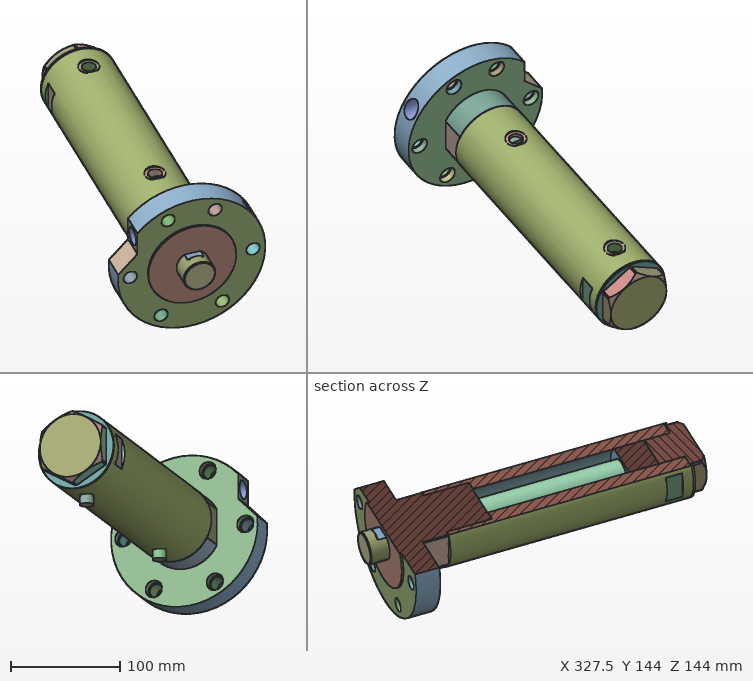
import cadquery as cq
import math

CAP_HEX_END = 14.0
BARREL_START = 16.0
PISTON_START = 42.5
PISTON_END = 72.0
GLAND_START = 212.2
BARREL_END = 257.0
FLANGE_START = 282.3
FLANGE_END = 306.5
COLLAR_END = 308.5
ROD_FLAT_END = 317.0
ROD_END = 327.5

BARREL_RADIUS = 36.7
BORE_RADIUS = 25.0
GLAND_RADIUS = 32.0
BARREL_FLAT_START = 26.2
BARREL_FLAT_END = 42.2
BARREL_FLAT_OFFSET = 33.7

PORT_STATIONS = (41.5, GLAND_START)
PORT_DIAMETER = 13.0
SPOTFACE_DIAMETER = 19.5
SPOTFACE_HEIGHT = 35.5

PIN_STATIONS = (40.5, 221.0)
PIN_DIAMETER = 12.5
PIN_BOTTOM = -45.2
PIN_TOP = -33.5

HEX_ACROSS_FLATS = 60.0
HEX_TURNED_DIAMETER = 68.0
HEX_CHAMFER = 4.3

NECK_RADIUS = 36.5
NECK_FLAT_OFFSET = 32.0
FLANGE_RADIUS = 72.0
COLLAR_RADIUS = 43.0
BOLT_CIRCLE_RADIUS = 60.0
BOLT_ANGLES = (0, 67.5, 112.5, 180, 240, 300)
BOLT_HOLE_DIAMETER = 13.0
COUNTERBORE_DIAMETER = 16.0
COUNTERBORE_DEPTH = 7.0
NOTCH_OFFSET = 53.0
NOTCH_BOTTOM = 25.0
CROSS_HOLE_DIAMETER = 17.5
CROSS_HOLE_HEIGHT = 37.0

ROD_DIAMETER = 31.0
ROD_RADIUS = ROD_DIAMETER / 2
ROD_FLAT_OFFSET = 13.5
ROD_CHAMFER = 1.0


def disc(start, end, radius):
    """Round bar along the cylinder axis between two stations."""
    axis_plane = cq.Plane(origin=(start, 0, 0), xDir=(0, 0, 1), normal=(1, 0, 0))
    return cq.Workplane(axis_plane).circle(radius).extrude(end - start)


def upright_bar(station, bottom, top, diameter):
    """Vertical round bar centred over the cylinder axis."""
    upright_plane = cq.Plane(origin=(station, 0, bottom), xDir=(-1, 0, 0), normal=(0, 0, 1))
    return cq.Workplane(upright_plane).circle(diameter / 2).extrude(top - bottom)


def flats_cutter(start, end, offset, outer):
    """Two opposite blocks that cut flats at +/- offset in Y out of a bar of the outer radius."""
    depth = outer - offset
    centres = [(0, offset + depth / 2), (0, -offset - depth / 2)]
    return (
        cq.Workplane("XY", origin=((start + end) / 2, 0, 0))
        .pushPoints(centres)
        .box(end - start, depth, 2 * outer)
    )


def make_pin(station):
    return upright_bar(station, PIN_BOTTOM, PIN_TOP, PIN_DIAMETER)


def cut_port(barrel, station):
    """Round port from the top into the bore, with a shallow spotface around its mouth."""
    port = upright_bar(station, 0, BARREL_RADIUS, PORT_DIAMETER)
    spotface = upright_bar(station, SPOTFACE_HEIGHT, BARREL_RADIUS, SPOTFACE_DIAMETER)
    return barrel.cut(port).cut(spotface)


def make_barrel():
    barrel = disc(BARREL_START, BARREL_END, BARREL_RADIUS)
    barrel = barrel.cut(disc(BARREL_START, BARREL_END, BORE_RADIUS))
    barrel = barrel.cut(disc(GLAND_START, BARREL_END, GLAND_RADIUS))
    barrel = barrel.cut(
        flats_cutter(BARREL_FLAT_START, BARREL_FLAT_END, BARREL_FLAT_OFFSET, BARREL_RADIUS)
    )
    for station in PORT_STATIONS:
        barrel = cut_port(barrel, station)
    for station in PIN_STATIONS:
        barrel = barrel.cut(make_pin(station))
    return barrel


def make_cap():
    hexagon = (
        cq.Workplane("YZ")
        .polygon(6, HEX_ACROSS_FLATS / math.cos(math.pi / 6))
        .extrude(CAP_HEX_END)
        .rotate((0, 0, 0), (1, 0, 0), 30)
    )
    turned = disc(0, CAP_HEX_END, HEX_TURNED_DIAMETER / 2).faces("<X").chamfer(HEX_CHAMFER)
    rim = disc(CAP_HEX_END, BARREL_START, BARREL_RADIUS)
    spigot = disc(BARREL_START, PISTON_START, BORE_RADIUS)
    return hexagon.intersect(turned).union(rim).union(spigot)


def cut_notch(flange):
    """Step in the flange rim: a vertical face, then a 45 degree ramp down to the rim."""
    reach = FLANGE_RADIUS - NOTCH_OFFSET
    notch = (
        cq.Workplane("YZ", origin=(FLANGE_START, 0, 0))
        .moveTo(-NOTCH_OFFSET, NOTCH_BOTTOM)
        .lineTo(-FLANGE_RADIUS, NOTCH_BOTTOM - reach)
        .lineTo(-FLANGE_RADIUS, FLANGE_RADIUS)
        .lineTo(-NOTCH_OFFSET, FLANGE_RADIUS)
        .close()
        .extrude(FLANGE_END - FLANGE_START)
    )
    return flange.cut(notch)


def cut_bolt_holes(flange):
    hole = disc(FLANGE_START, FLANGE_END, BOLT_HOLE_DIAMETER / 2)
    counterbore = disc(FLANGE_START, FLANGE_START + COUNTERBORE_DEPTH, COUNTERBORE_DIAMETER / 2)
    stepped_hole = hole.union(counterbore)
    for angle in BOLT_ANGLES:
        y = BOLT_CIRCLE_RADIUS * math.cos(math.radians(angle))
        z = BOLT_CIRCLE_RADIUS * math.sin(math.radians(angle))
        flange = flange.cut(stepped_hole.translate((0, y, z)))
    return flange


def cut_cross_hole(flange):
    """Hole along Y through the middle of the flange thickness, above the axis."""
    cross_hole = (
        cq.Workplane("XZ", origin=((FLANGE_START + FLANGE_END) / 2, 0, CROSS_HOLE_HEIGHT))
        .circle(CROSS_HOLE_DIAMETER / 2)
        .extrude(FLANGE_RADIUS, both=True)
    )
    return flange.cut(cross_hole)


def make_flange():
    flange = disc(FLANGE_START, FLANGE_END, FLANGE_RADIUS)
    return cut_cross_hole(cut_bolt_holes(cut_notch(flange)))


def make_neck():
    neck = disc(BARREL_END, FLANGE_START, NECK_RADIUS)
    return neck.cut(flats_cutter(BARREL_END, FLANGE_START, NECK_FLAT_OFFSET, NECK_RADIUS))


def make_rod_end():
    """Chamfered rod end with wrench flats on its top and bottom."""
    rod_end = disc(COLLAR_END, ROD_END, ROD_RADIUS).faces(">X").chamfer(ROD_CHAMFER)
    flats = flats_cutter(COLLAR_END, ROD_FLAT_END, ROD_FLAT_OFFSET, ROD_RADIUS)
    return rod_end.cut(flats.rotate((0, 0, 0), (1, 0, 0), 90))


def make_core():
    piston = disc(PISTON_START, PISTON_END, BORE_RADIUS)
    rod = disc(PISTON_END, GLAND_START, ROD_RADIUS)
    gland = disc(GLAND_START, BARREL_END, GLAND_RADIUS)
    collar = disc(FLANGE_END, COLLAR_END, COLLAR_RADIUS)
    core = piston.union(rod).union(gland).union(make_neck())
    return core.union(make_flange()).union(collar).union(make_rod_end())


barrel = make_barrel()
cap = make_cap()
core = make_core()
pins = [make_pin(station) for station in PIN_STATIONS]

result = cq.Compound.makeCompound([barrel.val(), cap.val(), core.val(), *[pin.val() for pin in pins]])